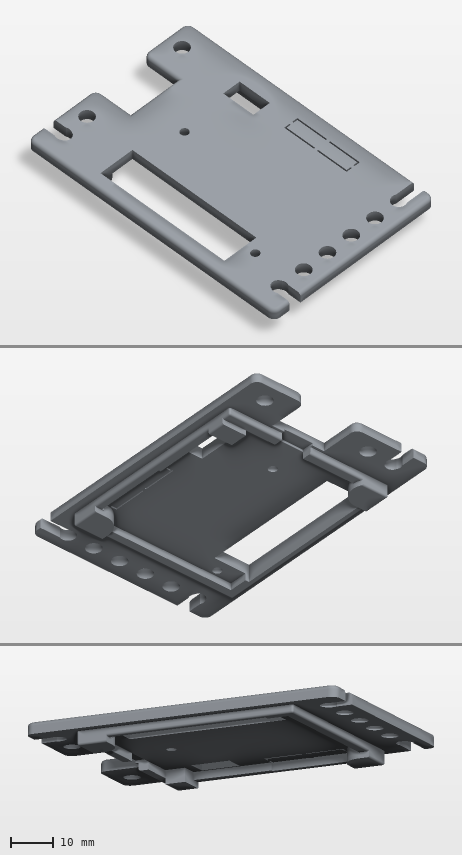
import cadquery as cq

plate_length = 82.0
plate_width = 54.0
plate_thickness = 3.0
plate_corner_radius = 2.0
plate_edge_radius = 1.0

pitch = 72.0 / 9
column_x = 4.5 * pitch
row_y = 2.5 * pitch
pin_hole_diameter = 4.2

slot_width = 3.7
slot_end_shift = 0.6

notch_depth = 11.65
notch_width = 2 * pitch
notch_y = 0.5 * pitch
connector_width = 8.8
connector_rise = 0.65

rim_length = 57.1
rim_width = 49.2
rim_wall = 2.6
rim_height = 2.0
rim_edge_radius = 0.5

foot_height = 1.5
foot_radius = 5.0
foot_x = 25.75
foot_y = 21.0
square_foot_y = 17.4

header_center = (0, -17.7)
header_size = (41.2, 10.75)
socket_center = (-13.4, 18.8)
socket_size = (10.0, 5.5)
panel_center = (10.2, 20.3)
panel_size = (20.75, 4.4)
panel_slit = 0.4
panel_bridge = 1.0
small_hole_diameter = 2.5
small_hole_places = [(-2 * pitch, 0.6), (3 * pitch, -16.15)]

skirt_height = rim_height + foot_height
total_height = plate_thickness + skirt_height


def block(x_range, y_range, z_range):
    """Axis-aligned box between the given limits."""
    size = [high - low for low, high in (x_range, y_range, z_range)]
    return cq.Workplane().box(*size, centered=False).translate((x_range[0], y_range[0], z_range[0]))


def through_rectangle(center, size):
    """Rectangular cutter through the full height of the part."""
    return cq.Workplane(origin=(*center, -skirt_height)).rect(*size).extrude(total_height)


def through_holes(places, diameter):
    """Round cutters through the full height of the part."""
    return (
        cq.Workplane(origin=(0, 0, -skirt_height))
        .pushPoints(places)
        .circle(diameter / 2)
        .extrude(total_height)
    )


def make_plate():
    """Plate with the side notch, rounded outer corners and a rounded top edge."""
    notch = through_rectangle((-plate_length / 2, notch_y), (2 * notch_depth, notch_width))
    plate = cq.Workplane().rect(plate_length, plate_width).extrude(plate_thickness).cut(notch)
    corners = [
        (x_side * plate_length / 2, y_side * plate_width / 2)
        for x_side in (-1, 1)
        for y_side in (-1, 1)
    ]
    corners += [(-plate_length / 2, notch_y + side * notch_width / 2) for side in (-1, 1)]
    for x, y in corners:
        plate = plate.edges(cq.selectors.NearestToPointSelector((x, y, plate_thickness / 2)))
        plate = plate.fillet(plate_corner_radius)
    return plate.faces(">Z").edges().fillet(plate_edge_radius)


def rim_solid(height):
    """Solid of the rim outline below the plate, with rounded corners and bottom edge."""
    solid = cq.Workplane().rect(rim_length, rim_width).extrude(-height)
    return solid.edges("|Z").fillet(rim_edge_radius).faces("<Z").edges().fillet(rim_edge_radius)


def make_rim():
    cavity = cq.Workplane().rect(rim_length - 2 * rim_wall, rim_width - 2 * rim_wall).extrude(-rim_height)
    return rim_solid(rim_height).cut(cavity)


def make_feet():
    """Feet squared off towards the rim edges and trimmed to the rim outline."""
    z_range = (-skirt_height, 0)
    right, back = rim_length / 2, rim_width / 2
    feet = through_holes([(-foot_x, -foot_y), (foot_x, foot_y)], 2 * foot_radius)
    feet = feet.union(block((-right, foot_radius - foot_x), (-back, -foot_y), z_range))
    feet = feet.union(block((foot_x, right), (foot_y - foot_radius, back), z_range))
    feet = feet.union(block((foot_x - foot_radius, right), (foot_y, back), z_range))
    square_foot_x_range = (rim_wall - right, foot_radius - foot_x)
    feet = feet.union(block(square_foot_x_range, (square_foot_y, back), z_range))
    return feet.intersect(rim_solid(skirt_height))


def make_edge_slots():
    """Slots opening through the -X, +X and +Y edges."""
    side_length = plate_length / 2 - column_x
    slots = through_holes([(-column_x, -row_y), (column_x, -row_y), (column_x, row_y)], pin_hole_diameter)
    for side in (-1, 1):
        slot_center = (side * (column_x + side_length / 2), -row_y)
        slots = slots.union(through_rectangle(slot_center, (side_length, slot_width)))
    end_x = column_x - slot_end_shift
    slots = slots.union(through_holes([(-end_x, -row_y), (end_x, -row_y)], slot_width))
    top_length = plate_width / 2 - row_y
    return slots.union(through_rectangle((column_x, row_y + top_length / 2), (slot_width, top_length)))


def make_connector_opening():
    """Opening through the -X wall of the rim, reaching a little up into the plate."""
    x_start = notch_depth - plate_length / 2
    x_end = rim_wall - rim_length / 2
    y_range = (notch_y - connector_width / 2, notch_y + connector_width / 2)
    return block((x_start, x_end), y_range, (-skirt_height, connector_rise))


def make_panel_slit():
    """Slit around the knock-out panel, interrupted by a bridge in the middle of each side."""
    length, width = panel_size
    panel = through_rectangle(panel_center, (length - 2 * panel_slit, width - 2 * panel_slit))
    slit = through_rectangle(panel_center, panel_size).cut(panel)
    slit = slit.cut(through_rectangle(panel_center, (panel_bridge, width)))
    slit = slit.cut(through_rectangle(panel_center, (length, panel_bridge)))
    wall_clearance = cq.Workplane().center(*panel_center).rect(*panel_size).extrude(-skirt_height)
    return slit.union(wall_clearance)


pin_holes = [(-column_x, row_y), (-column_x, row_y - 4 * pitch)]
pin_holes += [(column_x, row_y - step * pitch) for step in range(1, 5)]

result = make_plate().union(make_rim()).union(make_feet())
result = result.cut(through_holes(pin_holes, pin_hole_diameter))
result = result.cut(make_edge_slots())
result = result.cut(make_connector_opening())
result = result.cut(through_rectangle(header_center, header_size))
result = result.cut(through_rectangle(socket_center, socket_size))
result = result.cut(make_panel_slit())
result = result.cut(through_holes(small_hole_places, small_hole_diameter))